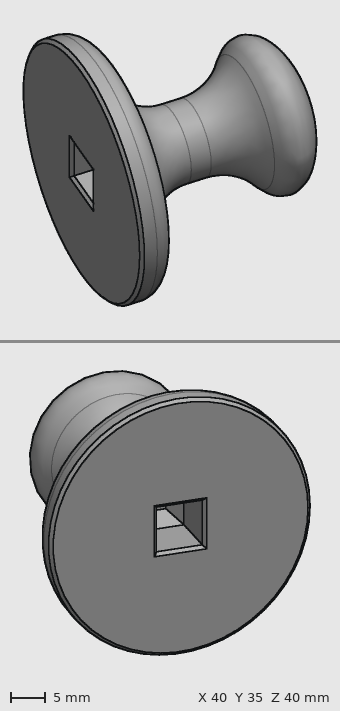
import cadquery as cq
import math

base_radius = 20.0
rear_chamfer = 0.5
rim_start = 2.5
rim_radius = 3.0

neck_radius = 6.0
neck_start = 14.5
neck_end = 17.7
base_flare_radius = 8.0
head_flare_radius = 10.0

length = 35.0
head_radius = 12.0
head_half_depth = 6.0
head_center = length - head_half_depth
head_joint = 25.75

recess_mouth = 8.0
recess_step = 7.0
recess_floor = 3.0
mouth_depth = (recess_mouth - recess_step) / 2
wall_end = 8.0
floor_taper_depth = (recess_step - recess_floor) / 2


def on_circle(center, radius, angle):
    """Point on a circle at an angle measured from +X towards +Y."""
    return (center[0] + radius * math.cos(angle), center[1] + radius * math.sin(angle))


rim_center = (base_radius - rim_radius, rim_start)
flare_center = (neck_radius + base_flare_radius, neck_start)
center_dx = flare_center[0] - rim_center[0]
center_dy = flare_center[1] - rim_center[1]
center_distance = math.hypot(center_dx, center_dy)
normal_angle = math.atan2(center_dy, center_dx) - math.acos(
    (rim_radius + base_flare_radius) / center_distance
)
cone_outer = on_circle(rim_center, rim_radius, normal_angle)
rim_middle = on_circle(rim_center, rim_radius, normal_angle / 2)
cone_inner = on_circle(flare_center, base_flare_radius, normal_angle + math.pi)
flare_middle = on_circle(flare_center, base_flare_radius, normal_angle / 2 + math.pi)

joint_offset = (head_center - head_joint) / head_half_depth
joint_radius = head_radius * math.sqrt(1 - joint_offset**2)
head_flare_center = (neck_radius + head_flare_radius, neck_end)
joint_angle = math.atan2(
    head_joint - head_flare_center[1], joint_radius - head_flare_center[0]
)
head_flare_middle = on_circle(
    head_flare_center, head_flare_radius, (math.pi + joint_angle) / 2
)
joint_parameter = -math.asin(joint_offset)


def head_curve(t):
    """Ellipse from the flare joint (t = 0) to the tip on the axis (t = 1)."""
    parameter = joint_parameter + t * (math.pi / 2 - joint_parameter)
    return (
        head_radius * math.cos(parameter),
        head_center + head_half_depth * math.sin(parameter),
    )


def make_knob():
    profile = (
        cq.Workplane("XY")
        .lineTo(base_radius - rear_chamfer, 0)
        .lineTo(base_radius, rear_chamfer)
        .lineTo(base_radius, rim_start)
        .threePointArc(rim_middle, cone_outer)
        .lineTo(*cone_inner)
        .threePointArc(flare_middle, (neck_radius, neck_start))
        .lineTo(neck_radius, neck_end)
        .threePointArc(head_flare_middle, (joint_radius, head_joint))
        .parametricCurve(head_curve, N=40, makeWire=False)
        .close()
    )
    return profile.revolve(360, (0, 0, 0), (0, 1, 0))


def square_taper(start, depth, start_side, end_side):
    """Square frustum running along +Y from the given start depth."""
    return (
        cq.Workplane("XZ", origin=(0, start, 0))
        .rect(start_side, start_side)
        .workplane(offset=-depth)
        .rect(end_side, end_side)
        .loft(ruled=True)
    )


def make_recess():
    """Chamfered mouth, straight square walls and a 45 degree taper to the floor."""
    mouth = square_taper(0, mouth_depth, recess_mouth, recess_step)
    walls = cq.Workplane("XZ", origin=(0, mouth_depth, 0)).rect(recess_step, recess_step)
    walls = walls.extrude(mouth_depth - wall_end)
    floor = square_taper(wall_end, floor_taper_depth, recess_step, recess_floor)
    return mouth.union(walls).union(floor)


result = make_knob().cut(make_recess())